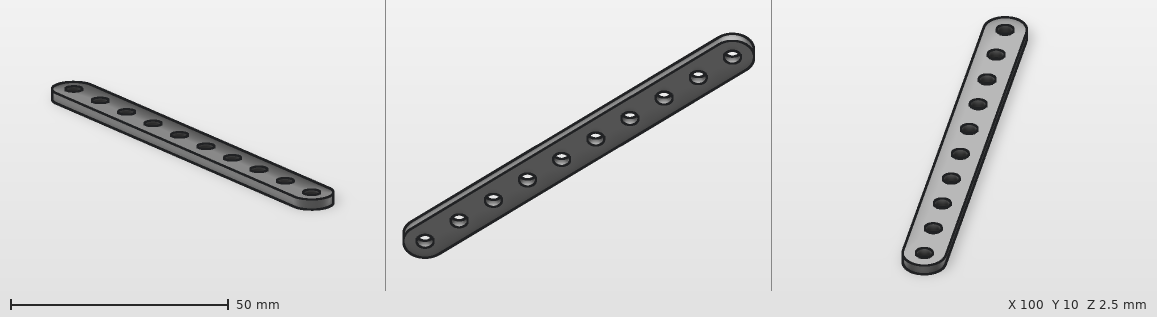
import cadquery as cq

length = 100.0
width = 10.0
thickness = 2.5
hole_diameter = 3.9
hole_count = 10

hole_pitch = (length - width) / (hole_count - 1)

bar = cq.Workplane("XY").slot2D(length, width).extrude(thickness)

result = (
    bar.faces(">Z")
    .workplane()
    .rarray(hole_pitch, width, hole_count, 1)
    .hole(hole_diameter)
)